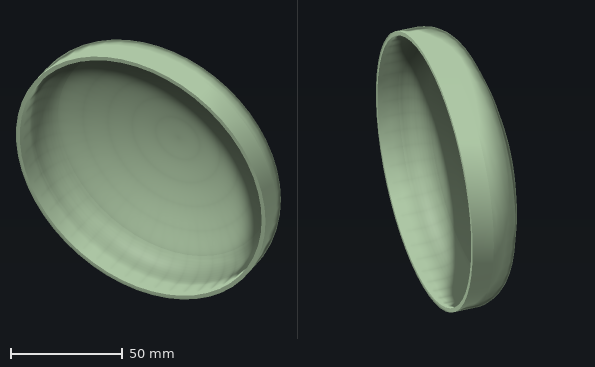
import cadquery as cq
import math

outer_diameter = 129.0
inner_diameter = 125.0
flange_length = 10.0
crown_inner_radius = outer_diameter
knuckle_inner_radius = outer_diameter / 10

wall = (outer_diameter - inner_diameter) / 2
rim_y = 0

knuckle_centre_x = inner_diameter / 2 - knuckle_inner_radius
knuckle_centre_y = rim_y + flange_length
tangent_angle = math.asin(knuckle_centre_x / (crown_inner_radius - knuckle_inner_radius))
crown_centre_y = knuckle_centre_y - knuckle_centre_x / math.tan(tangent_angle)


def knuckle_point(radius, angle):
    """Point on a knuckle arc, with the angle measured from the +Y axis."""
    return (
        knuckle_centre_x + radius * math.sin(angle),
        knuckle_centre_y + radius * math.cos(angle),
    )


def crown_point(radius, angle):
    """Point on a crown arc, with the angle measured from the +Y axis."""
    return (radius * math.sin(angle), crown_centre_y + radius * math.cos(angle))


knuckle_outer_radius = knuckle_inner_radius + wall
crown_outer_radius = crown_inner_radius + wall
flange_angle = math.pi / 2
knuckle_middle = (flange_angle + tangent_angle) / 2
crown_middle = tangent_angle / 2

profile = (
    cq.Workplane("XY")
    .moveTo(inner_diameter / 2, rim_y)
    .lineTo(outer_diameter / 2, rim_y)
    .lineTo(*knuckle_point(knuckle_outer_radius, flange_angle))
    .threePointArc(
        knuckle_point(knuckle_outer_radius, knuckle_middle),
        knuckle_point(knuckle_outer_radius, tangent_angle),
    )
    .threePointArc(
        crown_point(crown_outer_radius, crown_middle),
        crown_point(crown_outer_radius, 0),
    )
    .lineTo(*crown_point(crown_inner_radius, 0))
    .threePointArc(
        crown_point(crown_inner_radius, crown_middle),
        crown_point(crown_inner_radius, tangent_angle),
    )
    .threePointArc(
        knuckle_point(knuckle_inner_radius, knuckle_middle),
        knuckle_point(knuckle_inner_radius, flange_angle),
    )
    .close()
)

result = profile.revolve(360, (0, 0, 0), (0, 1, 0))